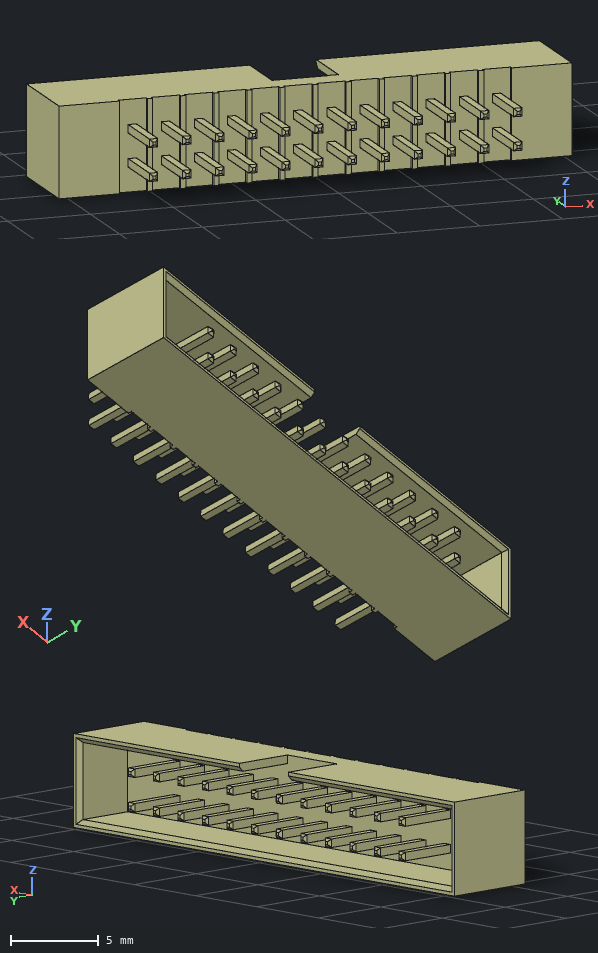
import cadquery as cq


length = 31.0
height = 5.45
total_depth = 9.25
tail_length = 3.6
housing_depth = total_depth - tail_length

wall = 0.5
cavity_depth = 3.85
mouth_chamfer = 0.28
key_slot_width = 4.0

columns = 12
rows = 2
pitches_along_housing = 15.5
pitch = length / pitches_along_housing
pin_width = 0.5
pin_tip_taper = 0.15
pin_setback = 0.1

relief_depth = 0.22
relief_length = 23.68
rib_width = 0.3


def box_between(x_size, z_size, y_start, y_end):
    """Box centred on X and Z that spans y_start to y_end."""
    return cq.Workplane("XY").box(x_size, y_end - y_start, z_size).translate((0, (y_start + y_end) / 2, 0))


def make_housing():
    """Block hollowed from the mating face, with a bevelled mouth and a keying slot through the top wall."""
    floor_y = housing_depth - cavity_depth
    cavity_length = length - 2 * wall
    cavity_height = height - 2 * wall
    block = box_between(length, height, 0, housing_depth)
    cavity = box_between(cavity_length, cavity_height, floor_y, housing_depth)
    mouth = (
        cq.Workplane("XZ", origin=(0, housing_depth, 0))
        .rect(cavity_length + 2 * mouth_chamfer, cavity_height + 2 * mouth_chamfer)
        .workplane(offset=mouth_chamfer)
        .rect(cavity_length, cavity_height)
        .loft(ruled=True)
    )
    key_slot = box_between(key_slot_width, height / 2, floor_y, housing_depth).translate((0, 0, height / 4))
    return block.cut(cavity).cut(mouth).cut(key_slot)


def make_relief():
    """Shallow recess across the board-side face, interrupted by a rib midway between neighbouring pins."""
    relief = box_between(relief_length, height, 0, relief_depth)
    rib = box_between(rib_width, height, 0, relief_depth)
    for gap in range(columns - 1):
        rib_x = (gap - (columns - 2) / 2) * pitch
        relief = relief.cut(rib.translate((rib_x, 0, 0)))
    return relief


def make_pin():
    """Square pin along Y with both ends tapered."""
    return (
        box_between(pin_width, pin_width, -tail_length, housing_depth - pin_setback)
        .faces("<Y or >Y")
        .chamfer(pin_tip_taper)
    )


result = make_housing().cut(make_relief())
pin = make_pin()
for column in range(columns):
    for row in range(rows):
        pin_x = (column - (columns - 1) / 2) * pitch
        pin_z = (row - (rows - 1) / 2) * pitch
        result = result.union(pin.translate((pin_x, 0, pin_z)))